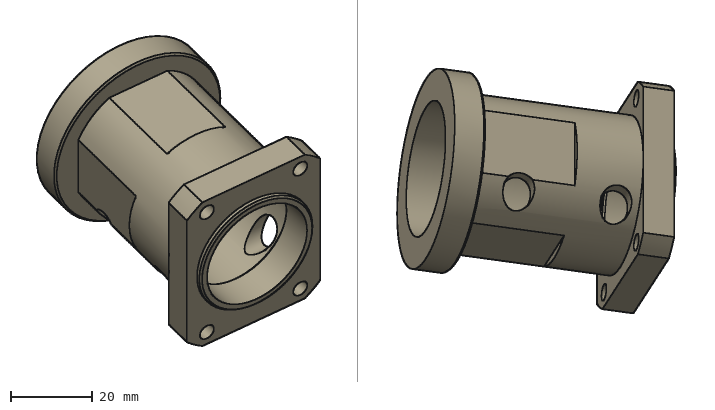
import cadquery as cq

flange_thickness = 8.0
flats_length = 25.0
plate_start = 50.0
plate_thickness = 8.0
spigot_length = 1.5
flats_end = flange_thickness + flats_length
plate_end = plate_start + plate_thickness
total_length = plate_end + spigot_length

flange_diameter = 50.0
flange_chamfer = 0.5
body_diameter = 40.0
spigot_diameter = 34.0
spigot_chamfer = 0.5

main_bore_diameter = 34.0
lip_bore_diameter = 30.0
lip_chamfer = 0.5
main_bore_depth = plate_start

flats_across = 36.0

plate_width = body_diameter
plate_height = 48.0
plate_corner_diameter = 57.0
bolt_hole_diameter = 4.2
bolt_spacing_y = 28.0
bolt_spacing_z = 40.0

cross_hole_diameter = 8.0
cross_hole_first_x = 19.0
cross_hole_spacing = 25.0
cross_hole_z = -11.3


def cylinder_x(diameter, start, end):
    """Cylinder on the X axis between two axial stations."""
    return cq.Workplane("YZ", origin=(start, 0, 0)).circle(diameter / 2).extrude(end - start)


def box_x(width, height, start, end):
    """Centred rectangular bar along X between two axial stations."""
    return cq.Workplane("YZ", origin=(start, 0, 0)).rect(width, height).extrude(end - start)


def make_flange():
    return cylinder_x(flange_diameter, 0, flange_thickness).edges(">X").chamfer(flange_chamfer)


def make_body():
    flatted_section = cylinder_x(body_diameter, flange_thickness, flats_end).intersect(
        box_x(flats_across, flats_across, flange_thickness, flats_end)
    )
    return flatted_section.union(cylinder_x(body_diameter, flats_end, plate_start))


def make_plate():
    plate = box_x(plate_width, plate_height, plate_start, plate_end).intersect(
        cylinder_x(plate_corner_diameter, plate_start, plate_end)
    )
    bolt_holes = (
        cq.Workplane("YZ", origin=(plate_start, 0, 0))
        .rect(bolt_spacing_y, bolt_spacing_z, forConstruction=True)
        .vertices()
        .circle(bolt_hole_diameter / 2)
        .extrude(plate_thickness)
    )
    return plate.cut(bolt_holes)


def make_spigot():
    return cylinder_x(spigot_diameter, plate_end, total_length).edges(">X").chamfer(spigot_chamfer)


def make_bore():
    """Stepped bore revolved about X, with a chamfer at the mouth of the lip."""
    main_radius = main_bore_diameter / 2
    lip_radius = lip_bore_diameter / 2
    return (
        cq.Workplane("XY")
        .moveTo(0, 0)
        .lineTo(0, main_radius)
        .lineTo(main_bore_depth, main_radius)
        .lineTo(main_bore_depth, lip_radius + lip_chamfer)
        .lineTo(main_bore_depth + lip_chamfer, lip_radius)
        .lineTo(total_length, lip_radius)
        .lineTo(total_length, 0)
        .close()
        .revolve(360, (0, 0, 0), (1, 0, 0))
    )


def make_cross_holes():
    hole_positions = [
        (cross_hole_first_x, cross_hole_z),
        (cross_hole_first_x + cross_hole_spacing, cross_hole_z),
    ]
    return (
        cq.Workplane("XZ")
        .pushPoints(hole_positions)
        .circle(cross_hole_diameter / 2)
        .extrude(body_diameter / 2, both=True)
    )


solid_form = make_flange().union(make_body()).union(make_plate()).union(make_spigot())
result = solid_form.cut(make_bore()).cut(make_cross_holes())